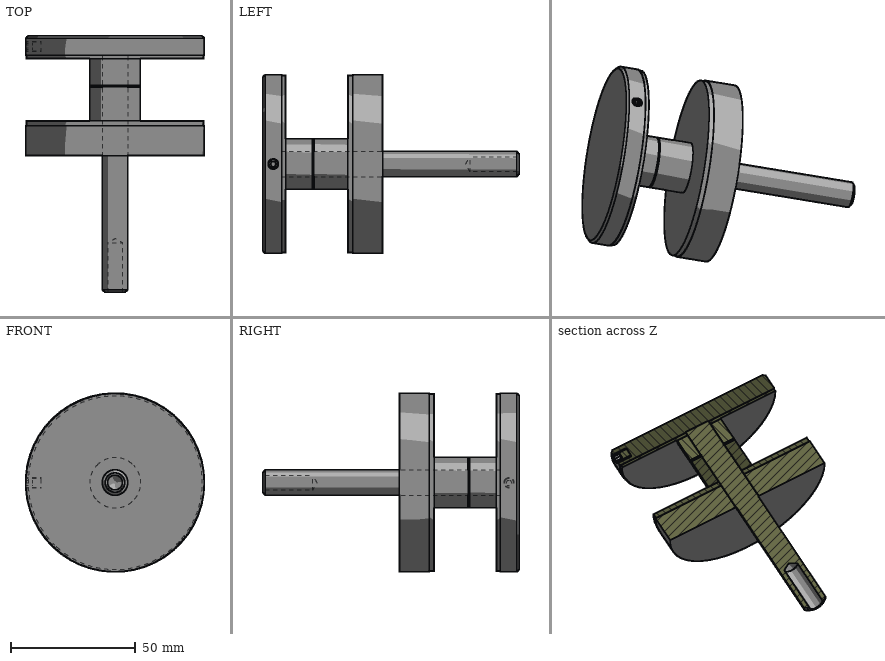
import cadquery as cq
import math

base_thickness = 12.0
cap_thickness = 7.77
base_gasket_thickness = 2.0
cap_gasket_thickness = 1.5
rod_protrusion = 55.0
overall_length = 103.27

cap_outer_y = overall_length - rod_protrusion
cap_inner_y = cap_outer_y - cap_thickness
cap_gasket_y = cap_inner_y - cap_gasket_thickness
base_gasket_y = base_thickness + base_gasket_thickness
sleeve_gap = 0.6
cap_sleeve_length = 10.73
cap_sleeve_y = cap_gasket_y - cap_sleeve_length
base_sleeve_y = cap_sleeve_y - sleeve_gap

disc_diameter = 72.0
gasket_diameter = 71.4
sleeve_diameter = 20.4
rod_diameter = 10.3

cap_chamfer = 1.0
rod_chamfer_length = 1.0
rod_chamfer_width = 1.25
rod_bore_diameter = 6.0
rod_bore_depth = 20.0
drill_point_angle = 118.0

screw_inset = 4.25
screw_diameter = 3.6
screw_hole_diameter = 4.1
screw_length = 6.0
screw_recess = 0.2
screw_socket_flats = 2.0
screw_socket_depth = 2.5
screw_y = cap_outer_y - screw_inset
screw_face_x = -disc_diameter / 2 + screw_recess


def cylinder_along_y(diameter, start_y, end_y):
    """Solid cylinder on the Y axis from start_y up to end_y."""
    start_plane = cq.Workplane("XZ", origin=(0, start_y, 0))
    return start_plane.circle(diameter / 2).extrude(start_y - end_y)


def ring_on_rod(diameter, start_y, end_y):
    """Ring on the Y axis whose hole fits the rod."""
    rod_hole = cylinder_along_y(rod_diameter, start_y, end_y)
    return cylinder_along_y(diameter, start_y, end_y).cut(rod_hole)


def make_cap():
    """Solid end disc with a chamfered outer rim and a blind radial hole for the set screw."""
    cap = cylinder_along_y(disc_diameter, cap_inner_y, cap_outer_y)
    cap = cap.faces(">Y").chamfer(cap_chamfer)
    hole_start = cq.Workplane("YZ", origin=(-disc_diameter / 2, screw_y, 0))
    hole = hole_start.circle(screw_hole_diameter / 2).extrude(screw_recess + screw_length)
    return cap.cut(hole)


def make_rod():
    """Rod with a conical lead-in at its free end and a drilled blind bore."""
    rod_radius = rod_diameter / 2
    tip_radius = rod_radius - rod_chamfer_width
    bore_radius = rod_bore_diameter / 2
    drill_point_length = bore_radius / math.tan(math.radians(drill_point_angle / 2))
    tip_y = -rod_protrusion
    bore_end_y = tip_y + rod_bore_depth
    half_section = (
        cq.Workplane("XY")
        .moveTo(bore_radius, tip_y)
        .lineTo(tip_radius, tip_y)
        .lineTo(rod_radius, tip_y + rod_chamfer_length)
        .lineTo(rod_radius, cap_inner_y)
        .lineTo(0, cap_inner_y)
        .lineTo(0, bore_end_y + drill_point_length)
        .lineTo(bore_radius, bore_end_y)
        .close()
    )
    return half_section.revolve(360, (0, 0, 0), (0, 1, 0))


def make_set_screw():
    """Headless screw with a hexagonal socket in its outer face."""
    outer_face = cq.Workplane("YZ", origin=(screw_face_x, screw_y, 0))
    screw = outer_face.circle(screw_diameter / 2).extrude(screw_length)
    socket_corners = screw_socket_flats / math.cos(math.pi / 6)
    socket = outer_face.polygon(6, socket_corners).extrude(screw_socket_depth)
    return screw.cut(socket)


base_disc = ring_on_rod(disc_diameter, 0, base_thickness)
base_gasket = ring_on_rod(gasket_diameter, base_thickness, base_gasket_y)
base_sleeve = ring_on_rod(sleeve_diameter, base_gasket_y, base_sleeve_y)
cap_sleeve = ring_on_rod(sleeve_diameter, cap_sleeve_y, cap_gasket_y)
cap_gasket = ring_on_rod(gasket_diameter, cap_gasket_y, cap_inner_y)
cap = make_cap()
rod = make_rod()
set_screw = make_set_screw()

result = cq.Compound.makeCompound([
    base_disc.val(),
    base_gasket.val(),
    base_sleeve.val(),
    cap_sleeve.val(),
    cap_gasket.val(),
    cap.val(),
    rod.val(),
    set_screw.val(),
])